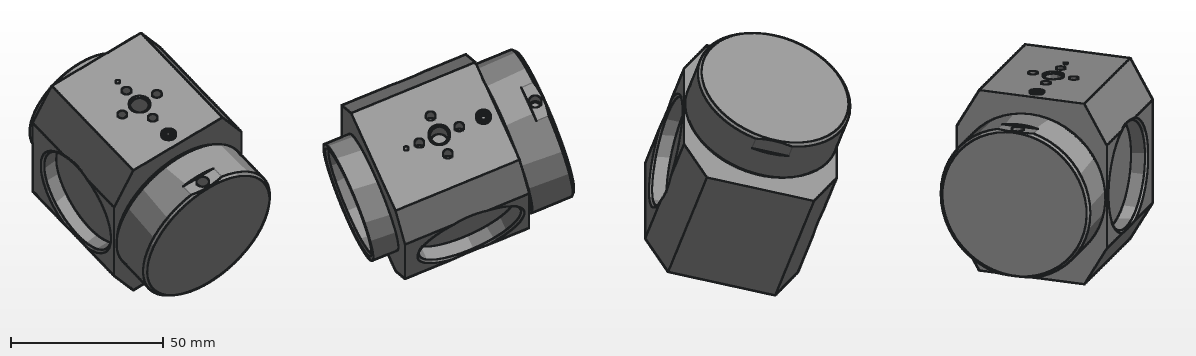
import cadquery as cq
import math

total_length = 69.85
housing_start = 8.95
housing_end = 53.3
housing_width = 52.4
housing_height = 63.5
top_width = 36.7
bevel_angle = 60.0
port_axis_x = 32.5

tube_diameter = 41.4
tube_bore = 36.6
tube_bore_depth = 7.9

window_diameter = 36.5
window_depth = 5.7
rim_chamfer = 0.85

center_hole_diameter = 6.0
center_hole_chamfer = 0.55
center_hole_depth = 8.4
bolt_hole_diameter = 3.2
bolt_circle_radius = 7.1
bolt_hole_count = 4
bolt_hole_depth = 7.0
dimple_diameter = 1.55
dimple_depth = dimple_diameter / 2
dimple_offset = 11.8

screw_offset = 15.8
screw_diameter = 4.0
screw_length = 6.0
screw_recess = 0.1
screw_chamfer = 0.4
screw_hole_chamfer = 0.5
hex_across_flats = 2.0
hex_depth = 2.0

neck_diameter = 50.3
collar_diameter = 52.25
collar_start = 54.5
collar_chamfer = (collar_diameter - neck_diameter) / 2
flat_start = 64.5
flat_height = 25.35
collar_hole_x = 66.8
collar_hole_diameter = 4.2
collar_hole_depth = 6.0
collar_hole_tip_diameter = 4.0
collar_hole_tip_depth = 7.0

top_z = housing_height / 2
side_y = housing_width / 2


def cylinder(diameter, length, start, direction):
    return cq.Workplane(cq.Solid.makeCylinder(diameter / 2, length, cq.Vector(*start), cq.Vector(*direction)))


def chamfered_hole(diameter, depth, chamfer, start, direction):
    """Cutter for a blind hole with a 45 degree chamfer at its mouth."""
    mouth = cq.Solid.makeCone(
        diameter / 2 + chamfer, diameter / 2, chamfer, cq.Vector(*start), cq.Vector(*direction)
    )
    return cylinder(diameter, depth, start, direction).union(cq.Workplane(mouth))


def top_point(offset_x, offset_y=0.0):
    return (port_axis_x + offset_x, offset_y, top_z)


def make_block():
    """Rectangular bar along X with its four long edges bevelled."""
    half_top = top_width / 2
    shoulder_z = top_z - (side_y - half_top) * math.tan(math.radians(bevel_angle))
    outline = [
        (half_top, top_z), (side_y, shoulder_z), (side_y, -shoulder_z), (half_top, -top_z),
        (-half_top, -top_z), (-side_y, -shoulder_z), (-side_y, shoulder_z), (-half_top, top_z),
    ]
    block = cq.Workplane("YZ").polyline(outline).close().extrude(housing_end - housing_start)
    return block.translate((housing_start, 0, 0))


def make_housing():
    down = (0, 0, -1)
    housing = make_block().union(cylinder(tube_diameter, housing_start, (0, 0, 0), (1, 0, 0)))
    housing = housing.cut(chamfered_hole(tube_bore, tube_bore_depth, rim_chamfer, (0, 0, 0), (1, 0, 0)))

    for side in (-1, 1):
        center = (port_axis_x, side * side_y, 0)
        housing = housing.cut(
            chamfered_hole(window_diameter, window_depth, rim_chamfer, center, (0, -side, 0))
        )

    housing = housing.cut(
        chamfered_hole(center_hole_diameter, center_hole_depth, center_hole_chamfer, top_point(0), down)
    )
    for index in range(bolt_hole_count):
        angle = 2 * math.pi * index / bolt_hole_count
        start = top_point(bolt_circle_radius * math.cos(angle), bolt_circle_radius * math.sin(angle))
        housing = housing.cut(cylinder(bolt_hole_diameter, bolt_hole_depth, start, down))

    dimple = cq.Solid.makeCone(
        dimple_diameter / 2, 0, dimple_depth, cq.Vector(*top_point(-dimple_offset)), cq.Vector(*down)
    )
    housing = housing.cut(cq.Workplane(dimple))

    screw_hole_depth = screw_recess + screw_length
    return housing.cut(
        chamfered_hole(screw_diameter, screw_hole_depth, screw_hole_chamfer, top_point(screw_offset), down)
    )


def make_set_screw():
    hex_corner_diameter = hex_across_flats / math.cos(math.pi / 6)
    screw = cq.Workplane("XY").circle(screw_diameter / 2).extrude(-screw_length)
    screw = screw.faces(">Z").chamfer(screw_chamfer)
    socket = cq.Workplane("XY").polygon(6, hex_corner_diameter).extrude(-hex_depth)
    return screw.cut(socket).translate((port_axis_x + screw_offset, 0, top_z - screw_recess))


def make_collar():
    """Collar with a narrower neck against the housing and flats above and below."""
    body = cylinder(collar_diameter, total_length - collar_start, (collar_start, 0, 0), (1, 0, 0))
    body = body.faces(">X").chamfer(collar_chamfer)
    flat_length = total_length - flat_start
    flat_cut_height = collar_diameter / 2 - flat_height
    for side in (-1, 1):
        flat_cut = cq.Workplane("XY").box(flat_length, collar_diameter, flat_cut_height).translate(
            (flat_start + flat_length / 2, 0, side * (flat_height + flat_cut_height / 2))
        )
        body = body.cut(flat_cut)
    neck = cylinder(neck_diameter, collar_start - housing_end, (housing_end, 0, 0), (1, 0, 0))

    hole_start = (collar_hole_x, 0, flat_height)
    hole = cylinder(collar_hole_diameter, collar_hole_depth, hole_start, (0, 0, -1))
    tip = cylinder(collar_hole_tip_diameter, collar_hole_tip_depth, hole_start, (0, 0, -1))
    return body.union(neck).cut(hole).cut(tip)


housing = make_housing()
set_screw = make_set_screw()
collar = make_collar()

result = cq.Compound.makeCompound([housing.val(), set_screw.val(), collar.val()])